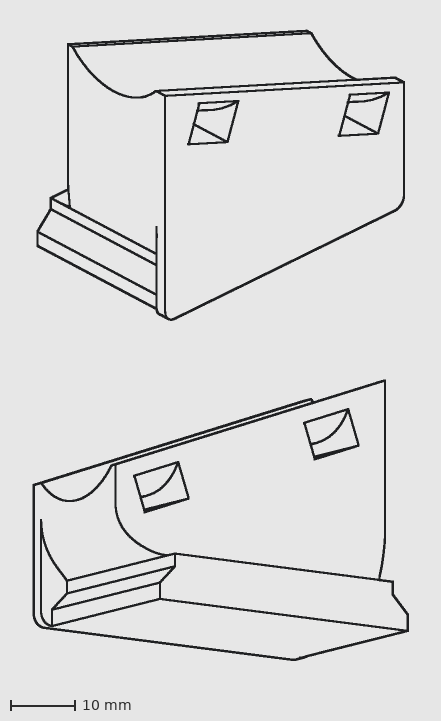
import cadquery as cq
import math

length = 51.8
depth = 31.0
height = 41.35
slope_angle = 20.0

body_depth = 21.95
foot_height = 7.5
foot_fillet = 8.05

plate_thickness = 2.0
plate_corner_radius = 2.0
flank_radius = 10.0
flank_inset = 4.95
flank_neck_height = 2.0
toe_inset = 2.05

cradle_radius = 13.35
cradle_sag = 3.9
cradle_offset = 11.5

slot_length = 8.95
slot_floor_depth = 8.5
slot_centers = (7.4, 42.15)
cradle_wall = 2.6

half_length = length / 2
body_front = depth - body_depth
plate_front = depth - plate_thickness
low_height = height - length * math.tan(math.radians(slope_angle))
cradle_x = depth - cradle_offset
cradle_axis_height = cradle_radius - cradle_sag
margin = 2.6

slope_rad = math.radians(slope_angle)
slope_length = length / math.cos(slope_rad)


def slope_section(distance):
    """Workplane across the slope: local Y is the slope normal, extrusion runs up the slope."""
    along_y = math.cos(slope_rad)
    along_z = math.sin(slope_rad)
    origin = (0, half_length - distance * along_y, low_height + distance * along_z)
    return cq.Workplane(cq.Plane(origin=origin, xDir=(1, 0, 0), normal=(0, -along_y, along_z)))


def make_profile():
    """Foot and upright section, swept over the full length."""
    mid = foot_fillet * (1 - math.sqrt(0.5))
    flat_end = body_front - foot_fillet
    return (
        cq.Workplane("XZ", origin=(0, half_length, 0))
        .moveTo(0, 0)
        .lineTo(depth, 0)
        .lineTo(depth, height)
        .lineTo(body_front, height)
        .lineTo(body_front, foot_height + foot_fillet)
        .threePointArc((body_front - mid, foot_height + mid), (flat_end, foot_height))
        .lineTo(0, foot_height)
        .close()
        .extrude(length)
    )


def make_side_outline():
    """Sloped-top outline with rounded bottom corners."""
    return (
        cq.Workplane("YZ")
        .polyline([
            (-half_length, 0),
            (half_length, 0),
            (half_length, low_height),
            (-half_length, height),
        ])
        .close()
        .extrude(depth)
        .edges("|X and <Z")
        .fillet(plate_corner_radius)
    )


def make_flank_cut():
    """Cutter that undercuts the +Y end in front of the back plate."""
    arc_inset = flank_radius * (1 - math.sqrt(0.5))
    arc_bottom = foot_height + flank_inset - arc_inset
    arc_top = arc_bottom + flank_radius * math.sqrt(0.5)
    arc_mid_inset = flank_radius * (1 - math.cos(math.pi / 8))
    arc_mid_height = arc_top - flank_radius * math.sin(math.pi / 8)
    neck_bottom = foot_height - flank_neck_height
    toe_height = neck_bottom - (flank_inset - toe_inset)
    return (
        cq.Workplane("YZ")
        .moveTo(half_length, arc_top)
        .threePointArc(
            (half_length - arc_mid_inset, arc_mid_height),
            (half_length - arc_inset, arc_bottom),
        )
        .lineTo(half_length - flank_inset, foot_height)
        .lineTo(half_length - flank_inset, neck_bottom)
        .lineTo(half_length - toe_inset, toe_height)
        .lineTo(half_length - toe_inset, -margin)
        .lineTo(half_length + margin, -margin)
        .lineTo(half_length + margin, arc_top)
        .close()
        .extrude(plate_front)
    )


def make_cradle():
    """Cylinder that hollows the sloped top."""
    overrun = length / 2
    return (
        slope_section(-overrun)
        .center(cradle_x, cradle_axis_height)
        .circle(cradle_radius)
        .extrude(slope_length + 2 * overrun)
    )


def make_slot(distance):
    """Strap slot with a flat floor and a roof concentric with the cradle."""
    start = slope_section(distance - slot_length / 2)
    passage = (
        start.center(0, -slot_floor_depth)
        .rect(depth + margin, cradle_axis_height + slot_floor_depth, centered=False)
        .extrude(slot_length)
    )
    roof = (
        start.center(cradle_x, cradle_axis_height)
        .circle(cradle_radius + cradle_wall)
        .extrude(slot_length)
    )
    return passage.cut(roof)


result = make_profile().intersect(make_side_outline())
flank_cut = make_flank_cut()
result = result.cut(flank_cut).cut(flank_cut.mirror("XZ"))
result = result.cut(make_cradle())
for slot_center in slot_centers:
    result = result.cut(make_slot(slot_center))